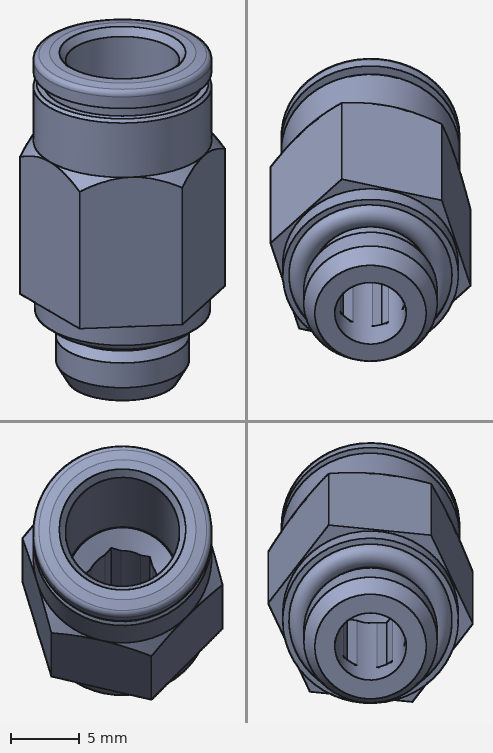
import cadquery as cq
import math

THREAD_CHAMFER_TOP_Z = 1.4
THREAD_TOP_Z = 3.38
HEX_BOTTOM_Z = 7.02
SLEEVE_SEAT_Z = 13.0
HEX_TOP_Z = 18.98
HOUSING_TOP_Z = 23.55
FLANGE_BOTTOM_Z = 24.5
TOTAL_HEIGHT = 26.0

BODY_DIAMETER = 13.0
HEX_CORNER_DIAMETER = BODY_DIAMETER / math.cos(math.radians(30))
RIM_CHAMFER = 0.23
COLLAR_DIAMETER = 12.8
COLLAR_BOTTOM_Z = 5.49
THREAD_DIAMETER = 9.72
THREAD_END_DIAMETER = 8.1
NECK_DIAMETER = 8.4
THROUGH_DIAMETER = 5.2
TUBE_STOP_DIAMETER = 8.2
TUBE_STOP_SLOPE = math.radians(30)
SOCKET_ACROSS_FLATS = 5.0
SOCKET_FLOOR_Z = 2.6

SEAL_OUTER_DIAMETER = 11.88
SEAL_MEAN_DIAMETER = (SEAL_OUTER_DIAMETER + NECK_DIAMETER) / 2
SEAL_SECTION_RADIUS = (SEAL_OUTER_DIAMETER - NECK_DIAMETER) / 4
SEAL_BOTTOM_Z = 4.65
SEAL_CENTER_Z = SEAL_BOTTOM_Z + SEAL_SECTION_RADIUS
SEAL_TOP_Z = SEAL_CENTER_Z + SEAL_SECTION_RADIUS

SLEEVE_DIAMETER = 11.55
SLEEVE_BORE_DIAMETER = 8.3
MOUTH_DIAMETER = 9.2
MOUTH_DEPTH = 0.6
TOP_FLAT_DIAMETER = 10.65
TOP_SLOPE_DIAMETER = 12.22
TOP_SLOPE_DROP = 0.13
FLANGE_EDGE_Z = 25.43


def revolve_profile(profile):
    """Turn a closed (radius, height) profile around the Z axis."""
    return profile.close().revolve(360, (0, 0, 0), (0, 1, 0))


def hex_prism(across_flats, bottom_z, top_z):
    """Hexagonal prism with two corners on the X axis."""
    corner_diameter = across_flats / math.cos(math.radians(30))
    prism = cq.Workplane("XY").workplane(offset=bottom_z).polygon(6, corner_diameter)
    return prism.extrude(top_z - bottom_z)


def make_hex_section():
    """Wrench hexagon whose upper corners are turned off by a 45 degree cone."""
    corner_radius = HEX_CORNER_DIAMETER / 2
    chamfer_height = (HEX_CORNER_DIAMETER - BODY_DIAMETER) / 2
    turned_envelope = revolve_profile(
        cq.Workplane("XZ")
        .moveTo(0, HEX_BOTTOM_Z)
        .lineTo(corner_radius, HEX_BOTTOM_Z)
        .lineTo(corner_radius, HEX_TOP_Z - chamfer_height)
        .lineTo(BODY_DIAMETER / 2, HEX_TOP_Z)
        .lineTo(0, HEX_TOP_Z)
    )
    return hex_prism(BODY_DIAMETER, HEX_BOTTOM_Z, HEX_TOP_Z).intersect(turned_envelope)


def make_turned_exterior():
    """Round outside of the housing: thread, neck, seal recess, collar and upper barrel."""
    neck_radius = NECK_DIAMETER / 2
    thread_radius = THREAD_DIAMETER / 2
    recess_radius = SEAL_OUTER_DIAMETER / 2
    collar_radius = COLLAR_DIAMETER / 2
    body_radius = BODY_DIAMETER / 2
    return revolve_profile(
        cq.Workplane("XZ")
        .moveTo(0, 0)
        .lineTo(THREAD_END_DIAMETER / 2, 0)
        .lineTo(thread_radius, THREAD_CHAMFER_TOP_Z)
        .lineTo(thread_radius, THREAD_TOP_Z)
        .lineTo(neck_radius, THREAD_TOP_Z + thread_radius - neck_radius)
        .lineTo(neck_radius, SEAL_TOP_Z)
        .lineTo(recess_radius, SEAL_TOP_Z)
        .lineTo(recess_radius, COLLAR_BOTTOM_Z)
        .lineTo(collar_radius, COLLAR_BOTTOM_Z)
        .lineTo(collar_radius, HEX_BOTTOM_Z)
        .lineTo(body_radius, HEX_BOTTOM_Z)
        .lineTo(body_radius, HOUSING_TOP_Z - RIM_CHAMFER)
        .lineTo(body_radius - RIM_CHAMFER, HOUSING_TOP_Z)
        .lineTo(0, HOUSING_TOP_Z)
    )


def make_bore():
    """Through hole, conical tube stop and sleeve recess, as a cutting solid."""
    through_radius = THROUGH_DIAMETER / 2
    stop_radius = TUBE_STOP_DIAMETER / 2
    stop_depth = (stop_radius - through_radius) * math.tan(TUBE_STOP_SLOPE)
    sleeve_radius = SLEEVE_DIAMETER / 2
    return revolve_profile(
        cq.Workplane("XZ")
        .moveTo(0, 0)
        .lineTo(through_radius, 0)
        .lineTo(through_radius, SLEEVE_SEAT_Z - stop_depth)
        .lineTo(stop_radius, SLEEVE_SEAT_Z)
        .lineTo(sleeve_radius, SLEEVE_SEAT_Z)
        .lineTo(sleeve_radius, HOUSING_TOP_Z)
        .lineTo(0, HOUSING_TOP_Z)
    )


def make_housing():
    hex_socket = hex_prism(SOCKET_ACROSS_FLATS, SOCKET_FLOOR_Z, SLEEVE_SEAT_Z)
    exterior = make_turned_exterior().union(make_hex_section())
    return exterior.cut(make_bore()).cut(hex_socket)


def make_seal_ring():
    section = cq.Workplane("XZ").center(SEAL_MEAN_DIAMETER / 2, SEAL_CENTER_Z).circle(SEAL_SECTION_RADIUS)
    axis_offset = -SEAL_MEAN_DIAMETER / 2
    return section.revolve(360, (axis_offset, 0, 0), (axis_offset, 1, 0))


def make_release_sleeve():
    """Tube guide with a rounded push flange and a conical mouth."""
    bore_radius = SLEEVE_BORE_DIAMETER / 2
    sleeve_radius = SLEEVE_DIAMETER / 2
    flange_radius = BODY_DIAMETER / 2
    slope_end = (TOP_SLOPE_DIAMETER / 2, TOTAL_HEIGHT - TOP_SLOPE_DROP)
    slope_run = (TOP_SLOPE_DIAMETER - TOP_FLAT_DIAMETER) / 2
    return revolve_profile(
        cq.Workplane("XZ")
        .moveTo(bore_radius, SLEEVE_SEAT_Z)
        .lineTo(sleeve_radius, SLEEVE_SEAT_Z)
        .lineTo(sleeve_radius, FLANGE_BOTTOM_Z)
        .lineTo(flange_radius, FLANGE_BOTTOM_Z)
        .lineTo(flange_radius, FLANGE_EDGE_Z)
        .tangentArcPoint(slope_end, relative=False)
        .lineTo(slope_end[0] - slope_run, TOTAL_HEIGHT)
        .lineTo(MOUTH_DIAMETER / 2, TOTAL_HEIGHT)
        .lineTo(bore_radius, TOTAL_HEIGHT - MOUTH_DEPTH)
    )


housing = make_housing()
seal_ring = make_seal_ring()
release_sleeve = make_release_sleeve()

result = cq.Compound.makeCompound([housing.val(), seal_ring.val(), release_sleeve.val()])